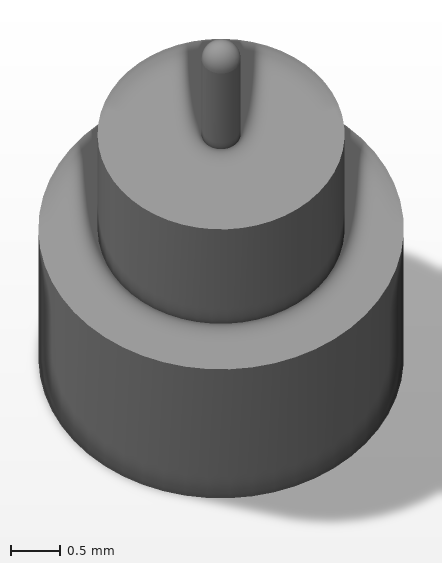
import cadquery as cq

total_height = 4.95
base_diameter = 3.7
base_height = 2.05
collar_diameter = 2.5
collar_height = 1.5
pin_diameter = 0.395

pin_radius = pin_diameter / 2
collar_top = base_height + collar_height
tip_start = total_height - pin_radius


def cylinder(diameter, bottom, top):
    """Cylinder on the Z axis between two heights."""
    return cq.Workplane("XY").workplane(offset=bottom).circle(diameter / 2).extrude(top - bottom)


base = cylinder(base_diameter, 0, base_height)
collar = cylinder(collar_diameter, base_height, collar_top)

tip_mid_offset = pin_radius * 0.5 ** 0.5
pin = (
    cq.Workplane("XZ")
    .moveTo(0, collar_top)
    .lineTo(pin_radius, collar_top)
    .lineTo(pin_radius, tip_start)
    .threePointArc((tip_mid_offset, tip_start + tip_mid_offset), (0, total_height))
    .close()
    .revolve(360, (0, 0, 0), (0, 1, 0))
)

result = base.union(collar).union(pin)